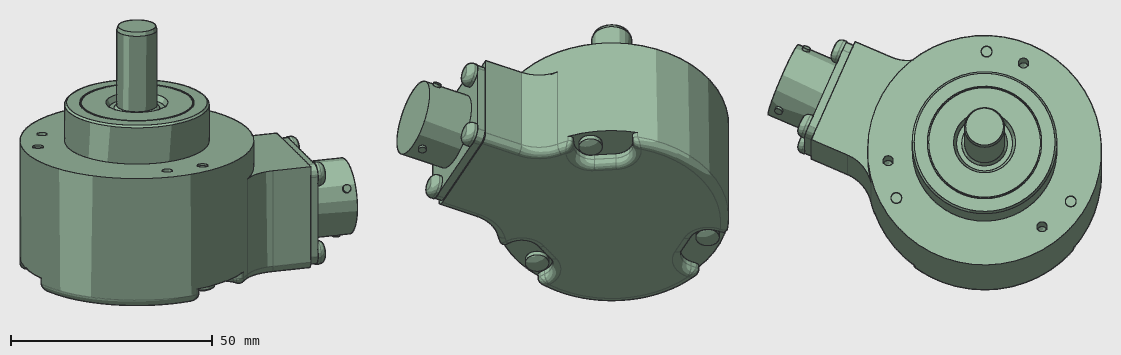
import cadquery as cq
import math

BODY_DIAMETER = 58.0
BODY_RADIUS = BODY_DIAMETER / 2
BODY_HEIGHT = 33.9
BOTTOM_FILLET = 2.0
BOSS_RADIUS = 17.95
BOSS_HEIGHT = 10.0
BOSS_CHAMFER = 0.5
BOSS_TOP = BODY_HEIGHT + BOSS_HEIGHT
ARM_WIDTH = 27.05
ARM_HEIGHT = ARM_WIDTH
ARM_END_Y = 41.0
NECK_RADIUS = 10.0

GROOVE_OUTER_RADIUS = 14.2
GROOVE_WIDTH = 0.3
GROOVE_DEPTH = 0.3
RECESS_RADIUS = 7.7
RECESS_FLOOR_RADIUS = 6.9
RECESS_DEPTH = 1.4

TAPPED_ANGLES = (0, 120, 240)
TAPPED_CIRCLE_RADIUS = 24.05
TAPPED_RADIUS = 1.25
TAPPED_DEPTH = 6.0
DRILL_TIP_ANGLE = 118
BLIND_CIRCLE_RADIUS = 25.0
BLIND_RADIUS = 1.3
BLIND_DEPTH = 0.5

NOTCH_ANGLES = (30, 150, 270)
NOTCH_HALF_WIDTH = 7.35
NOTCH_HEIGHT = 3.5
NOTCH_BACK_RADIUS = 20.6
NOTCH_CORNER_RADIUS = 4.7
NOTCH_MOUTH_RADIUS = 1.0
HEAD_OFFSET_ANGLE = -7.5
NOTCH_HEAD_ANGLES = [angle + HEAD_OFFSET_ANGLE for angle in NOTCH_ANGLES]
NOTCH_HEAD_RADIUS = 2.9
NOTCH_HEAD_RIM = 1.25
NOTCH_HEAD_CAP = 1.0

SHAFT_RADIUS = 5.0
SHAFT_PROTRUSION = 20.0
SHAFT_TOP = BOSS_TOP + SHAFT_PROTRUSION
SHAFT_CHAMFER_WIDTH = 0.3
SHAFT_CHAMFER_HEIGHT = 1.0
SHAFT_BOTTOM = BODY_HEIGHT
COLLAR_RADIUS = 5.7
COLLAR_HEIGHT = 0.7

OVERALL_LENGTH = 83.5
CONNECTOR_Z = ARM_HEIGHT / 2
CONNECTOR_RADIUS = 9.5
CONNECTOR_END_Y = OVERALL_LENGTH - BODY_RADIUS
PLATE_WIDTH = 26.05
PLATE_THICKNESS = 2.0
PLATE_CORNER_RADIUS = 2.6
PLATE_FACE_Y = ARM_END_Y + PLATE_THICKNESS
BAYONET_ANGLES = (30, 150, 270)
BAYONET_RADIUS = 1.0
BAYONET_PROTRUSION = 0.7
BAYONET_FROM_END = 2.5

SCREW_OFFSET = 10.3
SCREW_RADIUS = 3.0
SCREW_HEIGHT = 2.3
SCREW_DOME_RADIUS = 1.6


def polar(radius, degrees):
    """Point at a radius and angle around the main axis."""
    angle = math.radians(degrees)
    return (radius * math.cos(angle), radius * math.sin(angle))


def arm():
    """Square arm toward +Y that flares into the round body with tangent arcs."""
    half_width = ARM_WIDTH / 2
    center_x = half_width + NECK_RADIUS
    center_distance = BODY_RADIUS + NECK_RADIUS
    center_y = math.sqrt(center_distance**2 - center_x**2)
    touch_x = center_x * BODY_RADIUS / center_distance
    touch_y = center_y * BODY_RADIUS / center_distance
    middle_angle = (2 * math.pi + math.atan2(center_y, center_x)) / 2
    middle_x = center_x + NECK_RADIUS * math.cos(middle_angle)
    middle_y = center_y + NECK_RADIUS * math.sin(middle_angle)
    return (
        cq.Workplane("XY")
        .moveTo(half_width, ARM_END_Y)
        .lineTo(half_width, center_y)
        .threePointArc((middle_x, middle_y), (touch_x, touch_y))
        .lineTo(0, 0)
        .lineTo(-touch_x, touch_y)
        .threePointArc((-middle_x, middle_y), (-half_width, center_y))
        .lineTo(-half_width, ARM_END_Y)
        .close()
        .extrude(ARM_HEIGHT)
    )


def rim_notch(angle):
    """Cutter for one notch in the bottom rim, with round inner corners."""
    length_past_rim = BODY_RADIUS
    return (
        cq.Workplane("XY")
        .box(length_past_rim, 2 * NOTCH_HALF_WIDTH, NOTCH_HEIGHT, centered=(False, True, False))
        .edges("|Z and <X")
        .fillet(NOTCH_CORNER_RADIUS)
        .translate((NOTCH_BACK_RADIUS, 0, 0))
        .rotate((0, 0, 0), (0, 0, 1), angle)
    )


def notched_base():
    """Round body and arm with the rim notches cut and the bottom edge rounded."""
    base = cq.Workplane("XY").circle(BODY_RADIUS).extrude(BODY_HEIGHT).union(arm())
    for angle in NOTCH_ANGLES:
        base = base.cut(rim_notch(angle))
    mouth_z = NOTCH_HEIGHT / 2
    mouth_half_angle = math.degrees(math.asin(NOTCH_HALF_WIDTH / BODY_RADIUS))
    for angle in NOTCH_ANGLES:
        for side in (-1, 1):
            x, y = polar(BODY_RADIUS, angle + side * mouth_half_angle)
            corner = cq.selectors.NearestToPointSelector((x, y, mouth_z))
            base = base.edges(corner).fillet(NOTCH_MOUTH_RADIUS)
    return base.faces("<Z").edges("not(>Y)").fillet(BOTTOM_FILLET)


def tapped_hole(angle):
    """Cutter for a drilled hole with a conical tip in the flange face."""
    tip_height = TAPPED_RADIUS / math.tan(math.radians(DRILL_TIP_ANGLE / 2))
    x, y = polar(TAPPED_CIRCLE_RADIUS, angle)
    return (
        cq.Workplane("XZ")
        .polyline(
            [
                (0, 0),
                (TAPPED_RADIUS, 0),
                (TAPPED_RADIUS, -TAPPED_DEPTH),
                (0, -TAPPED_DEPTH - tip_height),
            ]
        )
        .close()
        .revolve(360, (0, 0, 0), (0, 1, 0))
        .translate((x, y, BODY_HEIGHT))
    )


def blind_hole(angle):
    """Cutter for a shallow flat-bottomed hole in the flange face."""
    x, y = polar(BLIND_CIRCLE_RADIUS, angle)
    hole = cq.Workplane("XY").circle(BLIND_RADIUS).extrude(-BLIND_DEPTH)
    return hole.translate((x, y, BODY_HEIGHT))


def notch_head(angle):
    """Round head with a spherical cap, hanging from a notch ceiling."""
    x, y = polar(BLIND_CIRCLE_RADIUS, angle)
    sphere_radius = (NOTCH_HEAD_RADIUS**2 + NOTCH_HEAD_CAP**2) / (2 * NOTCH_HEAD_CAP)
    height = NOTCH_HEAD_RIM + NOTCH_HEAD_CAP
    cap = cq.Workplane("XY", origin=(0, 0, sphere_radius - height)).sphere(sphere_radius)
    head = cq.Workplane("XY").circle(NOTCH_HEAD_RADIUS).extrude(-height).intersect(cap)
    return head.translate((x, y, NOTCH_HEIGHT))


def boss():
    """Boss with a chamfered rim, standing on the flange face."""
    return (
        cq.Workplane("XY", origin=(0, 0, BODY_HEIGHT))
        .circle(BOSS_RADIUS)
        .extrude(BOSS_HEIGHT)
        .faces(">Z")
        .edges()
        .chamfer(BOSS_CHAMFER)
    )


def ring_groove():
    """Cutter for the thin groove in the boss face."""
    return (
        cq.Workplane("XY", origin=(0, 0, BOSS_TOP))
        .circle(GROOVE_OUTER_RADIUS)
        .circle(GROOVE_OUTER_RADIUS - GROOVE_WIDTH)
        .extrude(-GROOVE_DEPTH)
    )


def shaft_recess():
    """Cutter for the recess around the shaft, narrowing toward its floor."""
    return (
        cq.Workplane("XZ")
        .polyline(
            [
                (0, BOSS_TOP),
                (RECESS_RADIUS, BOSS_TOP),
                (RECESS_FLOOR_RADIUS, BOSS_TOP - RECESS_DEPTH),
                (0, BOSS_TOP - RECESS_DEPTH),
            ]
        )
        .close()
        .revolve(360, (0, 0, 0), (0, 1, 0))
    )


def build_shaft():
    """Shaft with a coned collar resting on the recess floor."""
    floor = BOSS_TOP - RECESS_DEPTH
    return (
        cq.Workplane("XZ")
        .polyline(
            [
                (0, SHAFT_BOTTOM),
                (SHAFT_RADIUS, SHAFT_BOTTOM),
                (SHAFT_RADIUS, floor),
                (COLLAR_RADIUS, floor),
                (SHAFT_RADIUS, floor + COLLAR_HEIGHT),
                (SHAFT_RADIUS, SHAFT_TOP - SHAFT_CHAMFER_HEIGHT),
                (SHAFT_RADIUS - SHAFT_CHAMFER_WIDTH, SHAFT_TOP),
                (0, SHAFT_TOP),
            ]
        )
        .close()
        .revolve(360, (0, 0, 0), (0, 1, 0))
    )


def build_housing(shaft):
    """Housing with every hole, recess and notch, bored to fit the shaft."""
    housing = notched_base().union(boss())
    for angle in NOTCH_HEAD_ANGLES:
        housing = housing.union(notch_head(angle)).cut(blind_hole(angle))
    for angle in TAPPED_ANGLES:
        housing = housing.cut(tapped_hole(angle))
    return housing.cut(ring_groove()).cut(shaft_recess()).cut(shaft)


def facing_arm_end(shape, y):
    """Turn a shape built along +Z to point along +Y on the connector axis."""
    return shape.rotate((0, 0, 0), (1, 0, 0), -90).translate((0, y, CONNECTOR_Z))


def build_connector():
    """Square plate and round barrel with three bayonet pins."""
    connector = (
        cq.Workplane("XY")
        .rect(PLATE_WIDTH, PLATE_WIDTH)
        .extrude(PLATE_THICKNESS)
        .edges("|Z")
        .fillet(PLATE_CORNER_RADIUS)
    )
    length = CONNECTOR_END_Y - ARM_END_Y
    connector = connector.union(cq.Workplane("XY").circle(CONNECTOR_RADIUS).extrude(length))
    for angle in BAYONET_ANGLES:
        pin = (
            cq.Workplane("YZ", origin=(0, 0, length - BAYONET_FROM_END))
            .circle(BAYONET_RADIUS)
            .extrude(CONNECTOR_RADIUS + BAYONET_PROTRUSION)
            .rotate((0, 0, 0), (0, 0, 1), -angle)
        )
        connector = connector.union(pin)
    return facing_arm_end(connector, ARM_END_Y)


def build_screw(x, z):
    """Domed connector screw, seated on the plate at an offset from the connector axis."""
    screw = (
        cq.Workplane("XY")
        .circle(SCREW_RADIUS)
        .extrude(SCREW_HEIGHT)
        .faces(">Z")
        .edges()
        .fillet(SCREW_DOME_RADIUS)
    )
    return facing_arm_end(screw, PLATE_FACE_Y).translate((x, 0, z))


shaft = build_shaft()
housing = build_housing(shaft)
connector = build_connector()
screws = []
for x in (-SCREW_OFFSET, SCREW_OFFSET):
    for z in (-SCREW_OFFSET, SCREW_OFFSET):
        screws.append(build_screw(x, z))

result = cq.Compound.makeCompound(
    [housing.val(), shaft.val(), connector.val(), *[screw.val() for screw in screws]]
)